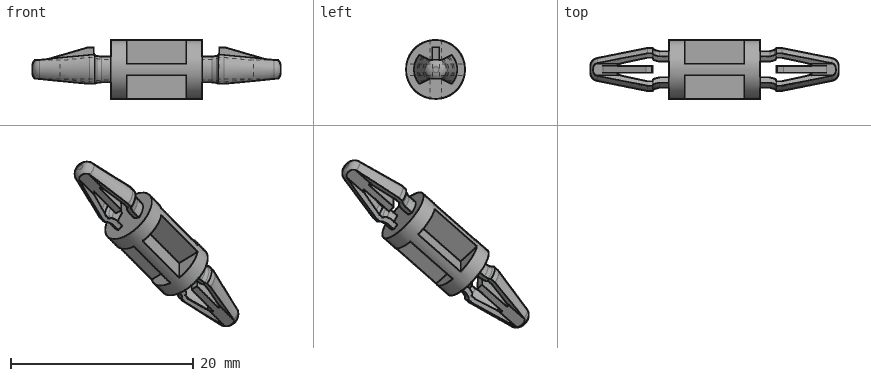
import cadquery as cq
import math

overall_length = 27.28
tip_x = -overall_length / 2

body_diameter = 6.5
body_length = 10.0
waist_length = 6.5
waist_rib_thickness = 1.23

nose_flat_radius = 0.33
nose_round = 0.95
head_start = 6.27
head_end = 6.85
shoulder_foot = 7.1
neck_start = 7.58
head_radius = 2.37
shoulder_foot_radius = 2.15
neck_radius = 2.02
plug_length = (overall_length - body_length) / 2

cavity_start = 3.03
cavity_start_radius = 1.15
cavity_head_radius = 1.85
cavity_shoulder_radius = 1.55
cavity_neck_radius = 1.42

nose_half_height = 1.05
arm_face_slope = 0.5
arm_face_height_at_axis = 0.7

fin_thickness = 0.76
fin_start = 1.36
fin_crest_start = 6.1
fin_crest_end = 6.77
fin_foot_end = 6.87
fin_top = 2.43


def concave_shoulder(profile, top, foot, foot_angle):
    """Add an arc from top down to foot that levels out to foot_angle below the axis direction."""
    chord_angle = math.atan2(top[1] - foot[1], foot[0] - top[0])
    turn = chord_angle - foot_angle
    chord = math.dist(top, foot)
    sagitta = chord / 2 * math.tan(turn / 2)
    middle = (
        (top[0] + foot[0]) / 2 - sagitta * math.sin(chord_angle),
        (top[1] + foot[1]) / 2 - sagitta * math.cos(chord_angle),
    )
    return profile.threePointArc(middle, foot)


def barb_end(profile, crest_radius, foot_radius, end_radius):
    """Continue a profile along the head, down the shoulder and along the neck, then close it."""
    crest = (head_end, crest_radius)
    foot = (shoulder_foot, foot_radius)
    foot_angle = math.atan2(foot_radius - end_radius, neck_start - shoulder_foot)
    profile = profile.lineTo(head_start, crest_radius).lineTo(*crest)
    profile = concave_shoulder(profile, crest, foot, foot_angle)
    profile = profile.lineTo(neck_start, end_radius).lineTo(plug_length, end_radius)
    return profile.lineTo(plug_length, 0).close()


def revolve_about_axis(profile):
    return profile.revolve(360, (0, 0, 0), (1, 0, 0)).translate((tip_x, 0, 0))


def plug_outside():
    """Solid plug: rounded nose, cone tangent to the nose round, head, shoulder and neck."""
    run = head_start - nose_round
    rise = head_radius - nose_flat_radius
    cone_angle = math.atan2(rise, run) - math.asin(nose_round / math.hypot(run, rise))

    def on_nose_round(angle):
        return (
            nose_round * (1 - math.sin(angle)),
            nose_flat_radius + nose_round * math.cos(angle),
        )

    middle_angle = (cone_angle + math.pi / 2) / 2
    profile = (
        cq.Workplane("XY")
        .lineTo(0, nose_flat_radius)
        .threePointArc(on_nose_round(middle_angle), on_nose_round(cone_angle))
    )
    return revolve_about_axis(barb_end(profile, head_radius, shoulder_foot_radius, neck_radius))


def plug_cavity():
    """Round hollow with a flat front end that follows the plug's outer surface to the body."""
    profile = cq.Workplane("XY").moveTo(cavity_start, 0).lineTo(cavity_start, cavity_start_radius)
    return revolve_about_axis(
        barb_end(profile, cavity_head_radius, cavity_shoulder_radius, cavity_neck_radius)
    )


def space_above_arms():
    """Everything above the nose flat and above the sloped side faces of the arms."""
    flat_half_width = (nose_half_height - arm_face_height_at_axis) / arm_face_slope
    outer_width = body_diameter / 2
    outer_height = arm_face_height_at_axis + arm_face_slope * outer_width
    return (
        cq.Workplane("YZ", origin=(tip_x, 0, 0))
        .moveTo(-flat_half_width, nose_half_height)
        .lineTo(flat_half_width, nose_half_height)
        .lineTo(outer_width, outer_height)
        .lineTo(outer_width, body_diameter)
        .lineTo(-outer_width, body_diameter)
        .lineTo(-outer_width, outer_height)
        .close()
        .extrude(plug_length)
    )


def fin():
    outline = [
        (fin_start, -nose_half_height),
        (fin_start, nose_half_height),
        (fin_crest_start, fin_top),
        (fin_crest_end, fin_top),
        (fin_foot_end, -nose_half_height),
    ]
    return (
        cq.Workplane("XZ")
        .polyline(outline)
        .close()
        .extrude(fin_thickness / 2, both=True)
        .translate((tip_x, 0, 0))
    )


def plug():
    gap = space_above_arms()
    arms = plug_outside().cut(plug_cavity()).cut(gap).cut(gap.mirror("XY"))
    return arms.union(fin())


def body():
    """Cylinder with four square-cornered pockets that leave a cross-shaped waist."""
    radius = body_diameter / 2
    pocket_centre = waist_rib_thickness / 2 + radius / 2
    cylinder = cq.Workplane("YZ").circle(radius).extrude(body_length / 2, both=True)
    pockets = (
        cq.Workplane("YZ")
        .rarray(2 * pocket_centre, 2 * pocket_centre, 2, 2)
        .rect(radius, radius)
        .extrude(waist_length / 2, both=True)
    )
    return cylinder.cut(pockets)


left_plug = plug()
result = body().union(left_plug).union(left_plug.mirror("YZ"))